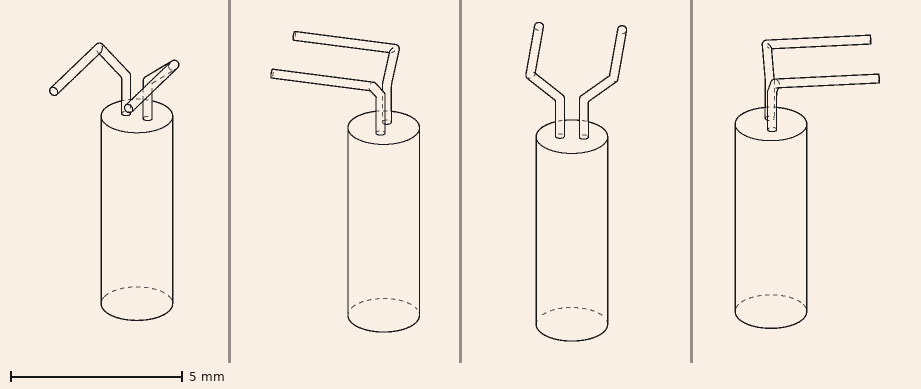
import cadquery as cq
import math

body_diameter = 2.1
body_height = 6.215

total_height = 8.33
total_width = 2.71
wire_diameter = 0.27
wire_radius = wire_diameter / 2
lead_pitch = 0.7
bend_height = 7.46
bend_radius = 0.23
lead_reach = 3.05

tip_x = (total_width - wire_diameter) / 2
tip_z = total_height - wire_radius
splay_angle = math.degrees(math.atan2(tip_x - lead_pitch / 2, tip_z - bend_height))
bend_setback = bend_radius * math.tan(math.radians(splay_angle / 2))


def straight_wire(start, end):
    """Round wire segment between two points."""
    direction = end - start
    return cq.Workplane(cq.Solid.makeCylinder(wire_radius, direction.Length, start, direction))


def rounded_elbow(center):
    """Ball that rounds the outside of a wire bend."""
    return cq.Workplane("XY").sphere(wire_radius).translate(center)


def inside_bend(side):
    """Curved wire piece tangent to both straights, filling the inside of the splay bend."""
    start = (side * lead_pitch / 2, 0, bend_height - bend_setback)
    axis_x = side * bend_radius
    section = cq.Workplane("XY", origin=start).circle(wire_radius)
    return section.revolve(splay_angle, (axis_x, 0), (axis_x, side))


def lead(side):
    """Lead that rises, splays outward in X, then runs toward -Y; side is -1 or 1."""
    root = cq.Vector(side * lead_pitch / 2, 0, body_height)
    lower_bend = cq.Vector(side * lead_pitch / 2, 0, bend_height)
    upper_bend = cq.Vector(side * tip_x, 0, tip_z)
    tip = cq.Vector(side * tip_x, -lead_reach, tip_z)

    wire = straight_wire(root, lower_bend)
    wire = wire.union(straight_wire(lower_bend, upper_bend))
    wire = wire.union(straight_wire(upper_bend, tip))
    for bend in (lower_bend, upper_bend):
        wire = wire.union(rounded_elbow(bend))
    return wire.union(inside_bend(side))


result = cq.Workplane("XY").circle(body_diameter / 2).extrude(body_height)
for side in (-1, 1):
    result = result.union(lead(side))